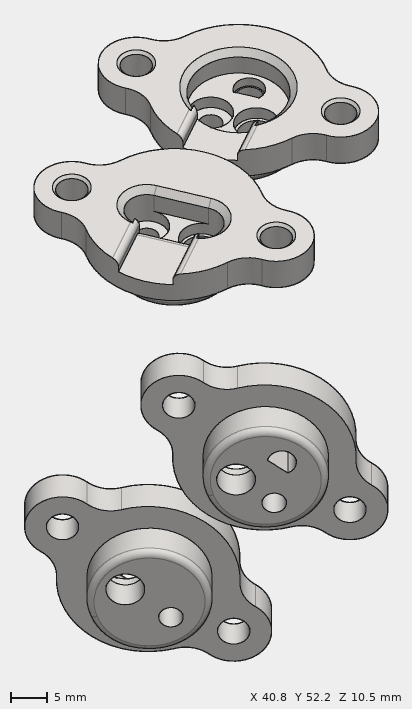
import cadquery as cq
import math

flange_height = 5.0
disc_radius = 12.75
ear_radius = 5.25
ear_offset = 15.0
ear_blend_radius = 5.0
screw_diameter = 4.5
screw_countersink_diameter = 5.4

boss_height = 5.5
boss_diameter = 17.4
boss_shift = 0.3
boss_front_diameter = 16.85
edge_break = 1.0

pocket_depth = 4.0
round_pocket_radius = 7.15
slot_width = 8.0
slot_depth = 2.0
slot_mouth_width = 9.4

port_recess_diameter = 6.3
port_recess_depth = 2.0
small_port_diameter = 3.4
large_port_diameter = 5.4
round_port_offset = 3.35
round_port_y = -2.1
long_port_offset = round_pocket_radius - port_recess_diameter / 2
d_port_x = 0.15
d_port_y = 4.2
d_recess_depth = 1.5
d_recess_diameter = 4.5
d_recess_flat = 1.25
d_port_diameter = 4.0
d_port_flat = 0.95

round_cover_position = (0.25, 26.7, 0)

pocket_floor = flange_height - pocket_depth
recess_floor = pocket_floor - port_recess_depth
d_recess_floor = pocket_floor - d_recess_depth
slot_floor = flange_height - slot_depth


def cylinder(x, y, bottom, top, diameter):
    return cq.Workplane("XY", origin=(x, y, bottom)).circle(diameter / 2).extrude(top - bottom)


def flange():
    """Disc and ears joined by concave arcs tangent to both."""
    disc_reach = disc_radius + ear_blend_radius
    ear_reach = ear_radius + ear_blend_radius
    blend_x = (disc_reach**2 - ear_reach**2 + ear_offset**2) / (2 * ear_offset)
    blend_y = math.sqrt(disc_reach**2 - blend_x**2)
    disc_x = blend_x * disc_radius / disc_reach
    disc_y = blend_y * disc_radius / disc_reach
    ear_x = ear_offset + (blend_x - ear_offset) * ear_radius / ear_reach
    ear_y = blend_y * ear_radius / ear_reach
    chord_x = (disc_x + ear_x) / 2 - blend_x
    chord_y = (disc_y + ear_y) / 2 - blend_y
    to_arc = ear_blend_radius / math.hypot(chord_x, chord_y)
    middle_x = blend_x + chord_x * to_arc
    middle_y = blend_y + chord_y * to_arc
    ear_tip = ear_offset + ear_radius
    return (
        cq.Workplane("XY")
        .moveTo(-disc_x, disc_y)
        .threePointArc((0, disc_radius), (disc_x, disc_y))
        .threePointArc((middle_x, middle_y), (ear_x, ear_y))
        .threePointArc((ear_tip, 0), (ear_x, -ear_y))
        .threePointArc((middle_x, -middle_y), (disc_x, -disc_y))
        .threePointArc((0, -disc_radius), (-disc_x, -disc_y))
        .threePointArc((-middle_x, -middle_y), (-ear_x, -ear_y))
        .threePointArc((-ear_tip, 0), (-ear_x, ear_y))
        .threePointArc((-middle_x, middle_y), (-disc_x, disc_y))
        .close()
        .extrude(flange_height)
    )


def boss():
    """Round boss set towards +Y, filled out to a concentric arc at its -Y side."""
    blank = cylinder(0, boss_shift, -boss_height, 0, boss_diameter)
    blank = blank.union(cylinder(0, 0, -boss_height, 0, boss_front_diameter))
    return blank.faces("<Z").edges().fillet(edge_break)


def blank_cover():
    """Flange with its boss and the two countersunk screw holes."""
    return (
        flange()
        .union(boss())
        .faces(">Z")
        .workplane(origin=(0, 0, flange_height))
        .pushPoints([(-ear_offset, 0), (ear_offset, 0)])
        .cskHole(screw_diameter, screw_countersink_diameter, 90)
    )


def slot():
    """Slot running from the middle out through -Y, with rounded top edges."""
    half = slot_width / 2
    round_start = flange_height - edge_break
    round_inset = edge_break * (1 - math.sqrt(0.5))
    return (
        cq.Workplane("XZ")
        .moveTo(-half, slot_floor)
        .lineTo(half, slot_floor)
        .lineTo(half, round_start)
        .threePointArc((half + round_inset, flange_height - round_inset), (half + edge_break, flange_height))
        .lineTo(-half - edge_break, flange_height)
        .threePointArc((-half - round_inset, flange_height - round_inset), (-half, round_start))
        .close()
        .extrude(disc_radius)
    )


def port(x, y, diameter, recess_top=pocket_floor):
    """Through hole with a wider recess reaching below the pocket floor."""
    recess = cylinder(x, y, recess_floor, recess_top, port_recess_diameter)
    return recess.union(cylinder(x, y, -boss_height, recess_floor, diameter))


def d_prism(bottom, top, diameter, flat):
    """Cylinder at the D port with its -Y side cut flat."""
    keep = (
        cq.Workplane("XY", origin=(d_port_x, d_port_y - flat, bottom))
        .rect(2 * diameter, 4 * diameter)
        .extrude(top - bottom)
        .translate((0, 2 * diameter, 0))
    )
    return cylinder(d_port_x, d_port_y, bottom, top, diameter).intersect(keep)


def d_port():
    recess = d_prism(d_recess_floor, pocket_floor, d_recess_diameter, d_recess_flat)
    return recess.union(d_prism(-boss_height, d_recess_floor, d_port_diameter, d_port_flat))


def clear_of_slot(chamfer):
    """Pocket chamfer without the part that would cut the rounded slot edges."""
    slot_zone = (
        cq.Workplane("XY", origin=(0, -disc_radius / 2, 0))
        .rect(slot_mouth_width, disc_radius)
        .extrude(flange_height)
    )
    return chamfer.cut(slot_zone)


def round_pocket():
    """Round pocket, chamfered at the top face."""
    pocket = cylinder(0, 0, pocket_floor, flange_height, 2 * round_pocket_radius)
    cone = cq.Solid.makeCone(
        round_pocket_radius,
        round_pocket_radius + edge_break,
        edge_break,
        pnt=cq.Vector(0, 0, flange_height - edge_break),
    )
    return pocket.union(clear_of_slot(cq.Workplane(cone)))


def long_pocket():
    """Long pocket whose round ends run straight down into the two port recesses."""
    middle = (
        cq.Workplane("XY", origin=(0, 0, pocket_floor))
        .rect(2 * long_port_offset, port_recess_diameter)
        .extrude(pocket_depth)
    )
    flare = (
        cq.Workplane("XY", origin=(0, 0, flange_height))
        .slot2D(2 * (round_pocket_radius + edge_break), port_recess_diameter + 2 * edge_break)
        .extrude(-edge_break, taper=45)
    )
    return (
        middle.union(port(-long_port_offset, 0, small_port_diameter, flange_height))
        .union(port(long_port_offset, 0, large_port_diameter, flange_height))
        .union(clear_of_slot(flare))
    )


def slot_mouth_round():
    """Round where the slot floor drops into the long pocket."""
    wall_y = -port_recess_diameter / 2
    round_inset = edge_break * (1 - math.sqrt(0.5))
    return (
        cq.Workplane("YZ", origin=(-slot_width / 2, 0, 0))
        .moveTo(wall_y - edge_break, slot_floor)
        .threePointArc((wall_y - round_inset, slot_floor - round_inset), (wall_y, slot_floor - edge_break))
        .lineTo(wall_y, slot_floor)
        .close()
        .extrude(slot_width)
    )


def round_cover():
    """Cover with a round pocket, two round ports and a D-shaped port."""
    return (
        blank_cover()
        .cut(round_pocket())
        .cut(slot())
        .cut(port(-round_port_offset, round_port_y, small_port_diameter))
        .cut(port(round_port_offset, round_port_y, large_port_diameter))
        .cut(d_port())
        .translate(round_cover_position)
    )


def long_cover():
    """Cover with a long pocket over two round ports."""
    return blank_cover().cut(long_pocket()).cut(slot()).cut(slot_mouth_round())


result = cq.Compound.makeCompound([round_cover().val(), long_cover().val()])